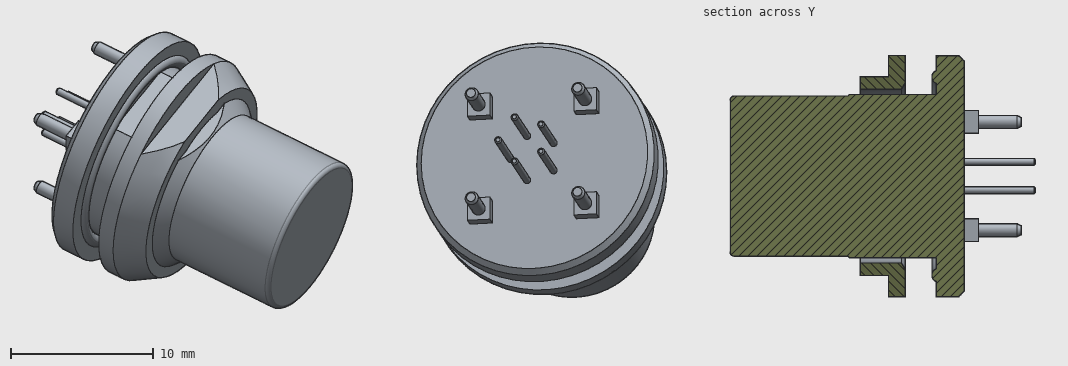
import cadquery as cq
import math


flange_radius = 8.5
flange_thickness = 2.0
flange_chamfer = 0.4
seal_section_radius = 0.48
seal_proud = 0.3
thread_radius = 6.5
thread_across_flats = 11.5
barrel_radius = 5.65
barrel_end = 16.5
barrel_end_round = 0.3

panel_gap = 1.85
nut_radius = flange_radius
nut_rim_thickness = 1.2
nut_cone_length = 2.0
nut_cone_angle = 30
nut_across_flats = 14.0
nut_bore_radius = 6.1
nut_bore_chamfer_depth = 0.29
nut_bore_chamfer_width = 0.5

peg_pitch = 7.62
peg_foot_size = 1.62
peg_foot_height = 1.0
peg_diameter = 0.94
peg_reach = 4.0
peg_tip_length = 0.3
peg_tip_inset = 0.15

contact_count = 5
contact_circle_radius = 1.7
contact_diameter = 0.5
contact_reach = 5.0
contact_tip_chamfer = 0.1

seal_front = flange_thickness + seal_proud
seal_centre = seal_front - seal_section_radius
seal_ring_radius = thread_radius + seal_section_radius
nut_back = seal_front + panel_gap
nut_rim_front = nut_back + nut_rim_thickness
nut_front = nut_rim_front + nut_cone_length
thread_end = nut_front
shoulder_end = thread_end + (thread_radius - barrel_radius)
nut_front_radius = nut_radius - nut_cone_length * math.tan(math.radians(nut_cone_angle))


def cylinder(radius, x_start, x_end):
    return cq.Workplane("YZ").workplane(offset=x_start).circle(radius).extrude(x_end - x_start)


def revolve_about_x(profile):
    return profile.close().revolve(360, (0, 0, 0), (1, 0, 0))


def slab_between_flats(across_flats, x_start, x_end):
    """Block that keeps what lies between two flats facing +Z and -Z."""
    width = 2 * flange_radius
    slab = cq.Workplane("XY").box(x_end - x_start, width, across_flats, centered=(False, True, True))
    return slab.translate((x_start, 0, 0))


def make_flange():
    """Flange with a round sealing ring partly sunk in its front face, around the neck."""
    flange = cylinder(flange_radius, 0, flange_thickness).faces("<X").chamfer(flange_chamfer)
    seal = (
        cq.Workplane("XY")
        .center(seal_centre, seal_ring_radius)
        .circle(seal_section_radius)
        .revolve(360, (0, -seal_ring_radius, 0), (1, -seal_ring_radius, 0))
    )
    return flange.union(seal)


def make_threaded_neck():
    """Threaded neck with a 45 degree shoulder, flattened on two sides."""
    neck = revolve_about_x(
        cq.Workplane("XY")
        .moveTo(flange_thickness, 0)
        .lineTo(flange_thickness, thread_radius)
        .lineTo(thread_end, thread_radius)
        .lineTo(shoulder_end, barrel_radius)
        .lineTo(shoulder_end, 0)
    )
    return neck.intersect(slab_between_flats(thread_across_flats, flange_thickness, shoulder_end))


def make_barrel():
    return cylinder(barrel_radius, shoulder_end, barrel_end).faces(">X").edges().fillet(barrel_end_round)


def make_peg(y, z):
    """Square foot carrying a round peg with a tapered tip."""
    foot = cq.Workplane("YZ").rect(peg_foot_size, peg_foot_size).extrude(-peg_foot_height)
    peg = cylinder(peg_diameter / 2, -peg_reach, -peg_foot_height)
    peg = peg.faces("<X").chamfer(peg_tip_length, peg_tip_inset)
    return foot.union(peg).translate((0, y, z))


def make_contact(y, z):
    contact = cylinder(contact_diameter / 2, -contact_reach, 0).faces("<X").chamfer(contact_tip_chamfer)
    return contact.translate((0, y, z))


def make_housing():
    housing = make_flange().union(make_threaded_neck()).union(make_barrel())
    for y_side in (-1, 1):
        for z_side in (-1, 1):
            housing = housing.union(make_peg(y_side * peg_pitch / 2, z_side * peg_pitch / 2))
    for index in range(contact_count):
        angle = 2 * math.pi * index / contact_count
        y = contact_circle_radius * math.cos(angle)
        z = contact_circle_radius * math.sin(angle)
        housing = housing.union(make_contact(y, z))
    return housing


def make_nut(housing):
    """Round nut with a full rim, a conical front with two wrench flats and a countersunk back.

    The bore is narrower than the neck's thread, so the neck is cut out of it where they engage.
    """
    rim = cylinder(nut_radius, nut_back, nut_rim_front)
    cone = revolve_about_x(
        cq.Workplane("XY")
        .moveTo(nut_rim_front, 0)
        .lineTo(nut_rim_front, nut_radius)
        .lineTo(nut_front, nut_front_radius)
        .lineTo(nut_front, 0)
    )
    cone = cone.intersect(slab_between_flats(nut_across_flats, nut_rim_front, nut_front))
    bore = cylinder(nut_bore_radius, nut_back, nut_front)
    countersink = revolve_about_x(
        cq.Workplane("XY")
        .moveTo(nut_back, 0)
        .lineTo(nut_back, nut_bore_radius + nut_bore_chamfer_width)
        .lineTo(nut_back + nut_bore_chamfer_depth, nut_bore_radius)
        .lineTo(nut_back + nut_bore_chamfer_depth, 0)
    )
    return rim.union(cone).cut(bore).cut(countersink).cut(housing)


housing = make_housing()
nut = make_nut(housing)
result = cq.Compound.makeCompound([housing.val(), nut.val()])